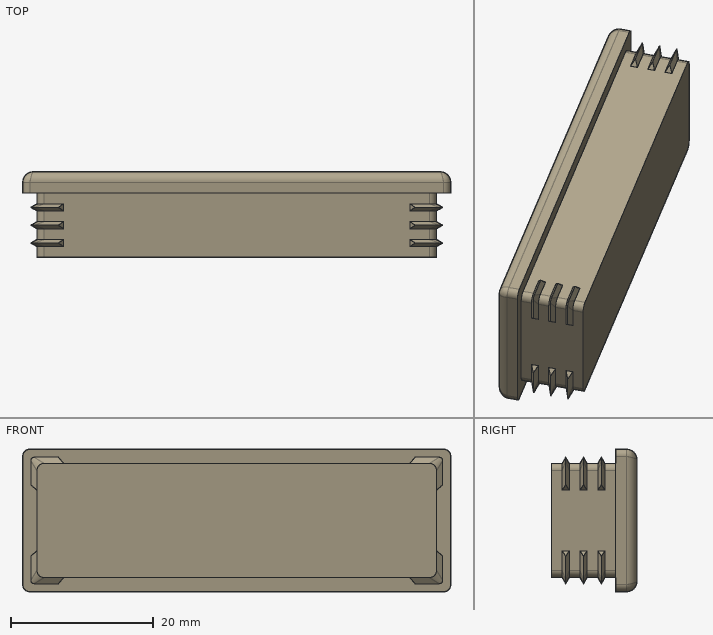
import cadquery as cq
import math

HEAD_LENGTH = 60.0
HEAD_HEIGHT = 20.0
HEAD_THICKNESS = 3.0
CORNER_RADIUS = 1.0
RIM_RADIUS = 1.5

TUBE_WALL = 2.0
PLUG_LENGTH = HEAD_LENGTH - 2 * TUBE_WALL
PLUG_HEIGHT = HEAD_HEIGHT - 2 * TUBE_WALL
PLUG_DEPTH = 9.0

FIN_COUNT = 3
FIN_PITCH = 2.5
FIN_BASE_WIDTH = 1.0
FIN_PROJECTION = FIN_BASE_WIDTH * math.sqrt(3) / 2
FIN_TIP_CORNER_RADIUS = 0.5
FIN_REACH_AT_BASE = 3.75
FIN_REACH_AT_TIP = 3.0

CORNER_SIDES = [(-1, -1), (-1, 1), (1, -1), (1, 1)]

FIRST_FIN_Y = -(PLUG_DEPTH - (FIN_COUNT - 1) * FIN_PITCH) / 2


def rounded_rectangle(length, height, radius):
    """Rounded rectangle centred on the part's long axis."""
    return cq.Sketch().rect(length, height).vertices().fillet(radius)


def rounded_block(length, height, depth):
    """Block running from Y = 0 towards -Y, with rounded corner edges."""
    outline = rounded_rectangle(length, height, CORNER_RADIUS)
    return cq.Workplane("XZ").placeSketch(outline).extrude(depth)


def head():
    """Cover plate with rounded corners and a rounded outer rim."""
    plate = rounded_block(HEAD_LENGTH, HEAD_HEIGHT, -HEAD_THICKNESS)
    return plate.faces(">Y").edges().fillet(RIM_RADIUS)


def fin_flank(fin_y, direction):
    """Half of a full fin ring: narrows from the sharp tip to the plug surface along Y."""
    tip = rounded_rectangle(
        PLUG_LENGTH + 2 * FIN_PROJECTION,
        PLUG_HEIGHT + 2 * FIN_PROJECTION,
        FIN_TIP_CORNER_RADIUS,
    )
    base = rounded_rectangle(PLUG_LENGTH, PLUG_HEIGHT, CORNER_RADIUS)
    base_offset = cq.Location(cq.Vector(0, 0, direction * FIN_BASE_WIDTH / 2))
    return (
        cq.Workplane("XZ", origin=(0, fin_y, 0))
        .placeSketch(tip, base.moved(base_offset))
        .loft(ruled=True)
    )


def corner_prism(x_side, z_side):
    """Prism around one plug corner; its slanted sides cut the fin ends."""
    corner_outline = [
        (-FIN_PROJECTION, -FIN_PROJECTION),
        (FIN_REACH_AT_TIP, -FIN_PROJECTION),
        (FIN_REACH_AT_BASE, 0),
        (0, FIN_REACH_AT_BASE),
        (-FIN_PROJECTION, FIN_REACH_AT_TIP),
    ]
    points = [
        (x_side * (PLUG_LENGTH / 2 - inward_x), z_side * (PLUG_HEIGHT / 2 - inward_z))
        for inward_x, inward_z in corner_outline
    ]
    return cq.Workplane("XZ").polyline(points).close().extrude(PLUG_DEPTH)


def corner_prisms():
    """The four corner prisms as one body."""
    prisms = cq.Workplane("XZ")
    for x_side, z_side in CORNER_SIDES:
        prisms = prisms.add(corner_prism(x_side, z_side))
    return prisms.combine()


def fin(fin_y):
    """One pointed fin, kept only around the four corners."""
    ring = fin_flank(fin_y, 1).union(fin_flank(fin_y, -1))
    return ring.intersect(corner_prisms())


result = head().union(rounded_block(PLUG_LENGTH, PLUG_HEIGHT, PLUG_DEPTH))
for fin_index in range(FIN_COUNT):
    result = result.union(fin(FIRST_FIN_Y - fin_index * FIN_PITCH))